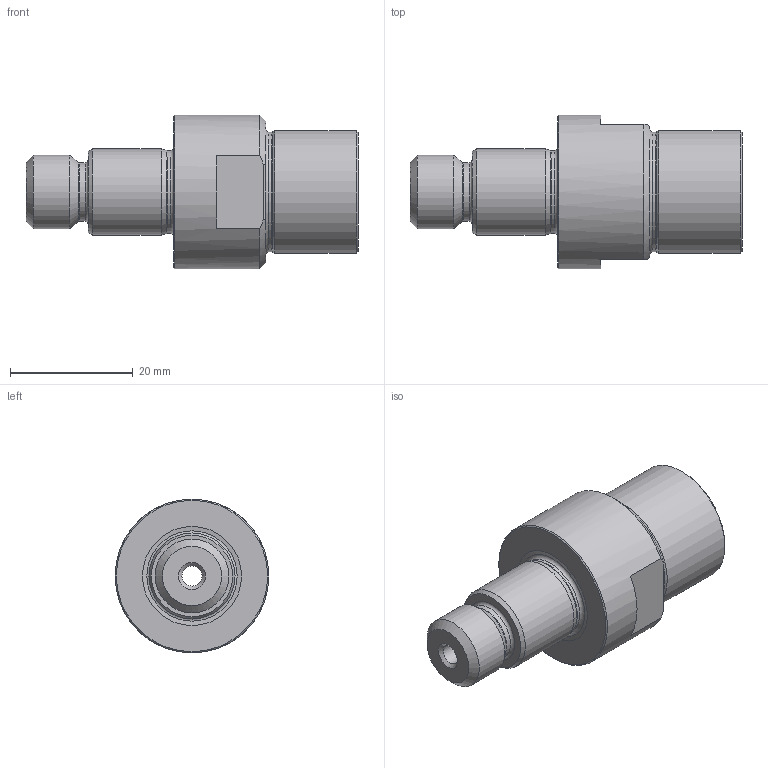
import cadquery as cq
import math

TOTAL_LENGTH = 54.0
TIP_END = 7.1
PILOT_START = 10.1
COLLAR_START = 24.0
COLLAR_END = 39.0
BARREL_START = 40.45
FLAT_START = 31.0

TIP_RADIUS = 6.0
NECK_RADIUS = 4.75
PILOT_RADIUS = 7.0
COLLAR_RADIUS = 12.5
BARREL_GROOVE_RADIUS = 9.7
BARREL_RADIUS = 10.0
BORE_RADIUS = 1.65

TIP_CHAMFER = 1.2
PILOT_CHAMFER_LENGTH = 0.7
PILOT_CHAMFER_DEPTH = 0.4
COLLAR_FRONT_CHAMFER = 0.2
COLLAR_REAR_CHAMFER = 1.0
BARREL_CHAMFER = 0.3
BORE_COUNTERSINK = 0.55
GROOVE_FILLET = 0.5
RAMP_FILLET = 0.4
NECK_RAMP_ANGLE = math.radians(40)
BARREL_RAMP_ANGLE = math.radians(35)

RELIEF_LENGTH = 2.0
RELIEF_DEPTH = 0.25
RELIEF_FACE_DEPTH = 0.1
RELIEF_FILLET = 0.6
RELIEF_RAMP_ANGLE = math.radians(15)
RELIEF_FACE_ANGLE = math.radians(8)

FLAT_HALF_WIDTH = 11.0
FLAT_EDGE_CHAMFER = 0.4


BACKWARD = 180
INWARD = 270
FORWARD = 360


def corner_arc(profile, center, radius, start_angle, end_angle):
    """Run the profile to an arc about center, then along it; angles in degrees from +X."""

    def on_arc(angle):
        turn = math.radians(angle)
        return center[0] + radius * math.cos(turn), center[1] + radius * math.sin(turn)

    middle_angle = (start_angle + end_angle) / 2
    profile = profile.lineTo(*on_arc(start_angle))
    return profile.threePointArc(on_arc(middle_angle), on_arc(end_angle))


def ramp_then_floor(profile, start, floor_radius, angle, fillet):
    """Descend from start at the given angle and blend into a cylindrical floor."""
    corner = start[0] + (start[1] - floor_radius) / math.tan(angle)
    center = (corner + fillet * math.tan(angle / 2), floor_radius + fillet)
    return corner_arc(profile, center, fillet, INWARD - math.degrees(angle), INWARD)


def add_tip_and_neck(profile):
    profile = (
        profile.lineTo(0, TIP_RADIUS - TIP_CHAMFER)
        .lineTo(TIP_CHAMFER, TIP_RADIUS)
        .lineTo(TIP_END, TIP_RADIUS)
    )
    profile = ramp_then_floor(
        profile, (TIP_END, TIP_RADIUS), NECK_RADIUS, NECK_RAMP_ANGLE, RAMP_FILLET
    )
    center = (PILOT_START - GROOVE_FILLET, NECK_RADIUS + GROOVE_FILLET)
    return corner_arc(profile, center, GROOVE_FILLET, INWARD, FORWARD)


def add_pilot_and_relief(profile):
    relief_start = COLLAR_START - RELIEF_LENGTH
    floor_radius = PILOT_RADIUS - RELIEF_DEPTH
    profile = (
        profile.lineTo(PILOT_START, PILOT_RADIUS - PILOT_CHAMFER_DEPTH)
        .lineTo(PILOT_START + PILOT_CHAMFER_LENGTH, PILOT_RADIUS)
        .lineTo(relief_start, PILOT_RADIUS)
    )
    profile = ramp_then_floor(
        profile, (relief_start, PILOT_RADIUS), floor_radius, RELIEF_RAMP_ANGLE, RELIEF_FILLET
    )
    relief_bottom = COLLAR_START + RELIEF_FACE_DEPTH
    center = (relief_bottom - RELIEF_FILLET, floor_radius + RELIEF_FILLET)
    profile = corner_arc(profile, center, RELIEF_FILLET, INWARD, FORWARD)
    face_ramp = RELIEF_FACE_DEPTH / math.tan(RELIEF_FACE_ANGLE)
    return profile.lineTo(COLLAR_START, center[1] + face_ramp)


def add_collar(profile):
    return (
        profile.lineTo(COLLAR_START, COLLAR_RADIUS - COLLAR_FRONT_CHAMFER)
        .lineTo(COLLAR_START + COLLAR_FRONT_CHAMFER, COLLAR_RADIUS)
        .lineTo(COLLAR_END - COLLAR_REAR_CHAMFER, COLLAR_RADIUS)
        .lineTo(COLLAR_END, COLLAR_RADIUS - COLLAR_REAR_CHAMFER)
    )


def add_barrel(profile):
    groove_depth = BARREL_RADIUS - BARREL_GROOVE_RADIUS
    center = (COLLAR_END + GROOVE_FILLET, BARREL_GROOVE_RADIUS + GROOVE_FILLET)
    profile = corner_arc(profile, center, GROOVE_FILLET, BACKWARD, INWARD)
    ramp_corner = BARREL_START - groove_depth / math.tan(BARREL_RAMP_ANGLE)
    ramp_center = (
        ramp_corner - RAMP_FILLET * math.tan(BARREL_RAMP_ANGLE / 2),
        BARREL_GROOVE_RADIUS + RAMP_FILLET,
    )
    ramp_direction = INWARD + math.degrees(BARREL_RAMP_ANGLE)
    profile = corner_arc(profile, ramp_center, RAMP_FILLET, INWARD, ramp_direction)
    return (
        profile.lineTo(BARREL_START, BARREL_RADIUS)
        .lineTo(TOTAL_LENGTH - BARREL_CHAMFER, BARREL_RADIUS)
        .lineTo(TOTAL_LENGTH, BARREL_RADIUS - BARREL_CHAMFER)
    )


def turned_body():
    """Half section, including the countersunk bore, revolved about X."""
    profile = cq.Workplane("XY").moveTo(BORE_COUNTERSINK, BORE_RADIUS)
    profile = profile.lineTo(0, BORE_RADIUS + BORE_COUNTERSINK)
    profile = add_tip_and_neck(profile)
    profile = add_pilot_and_relief(profile)
    profile = add_collar(profile)
    profile = add_barrel(profile)
    profile = profile.lineTo(TOTAL_LENGTH, BORE_RADIUS).close()
    return profile.revolve(360, (0, 0, 0), (1, 0, 0))


def flat_cutter(side):
    """Material outside one wrench flat; side is +1 or -1 along Y."""
    return (
        cq.Workplane("XY")
        .moveTo(FLAT_START, side * COLLAR_RADIUS)
        .lineTo(FLAT_START, side * FLAT_HALF_WIDTH)
        .lineTo(COLLAR_END - FLAT_EDGE_CHAMFER, side * FLAT_HALF_WIDTH)
        .lineTo(COLLAR_END, side * (FLAT_HALF_WIDTH - FLAT_EDGE_CHAMFER))
        .lineTo(COLLAR_END, side * COLLAR_RADIUS)
        .close()
        .extrude(COLLAR_RADIUS, both=True)
    )


result = turned_body()
for flat_side in (-1, 1):
    result = result.cut(flat_cutter(flat_side))